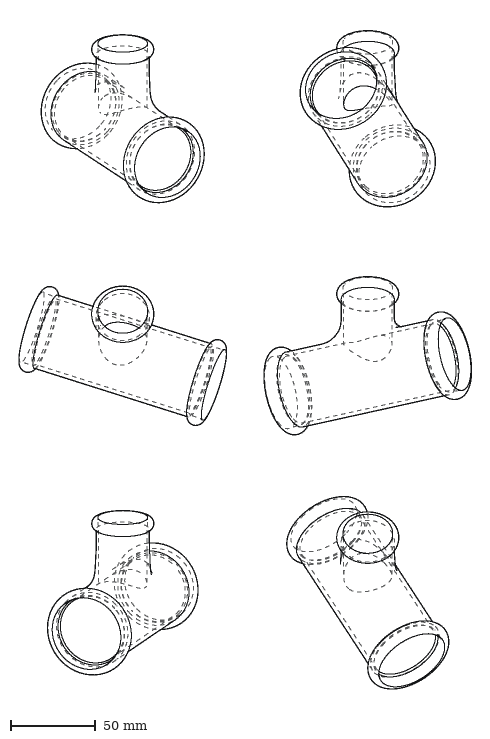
import cadquery as cq

run_length = 114.0
run_diameter = 45.4
run_bead_diameter = 52.7
run_bead_width = 9.0
run_lip_diameter = 42.8
run_socket_diameter = 42.4
run_bore_diameter = 40.6

branch_height = 56.0
branch_diameter = 31.4
branch_bead_diameter = 36.7
branch_bead_width = 7.3
branch_lip_diameter = 29.2
branch_socket_diameter = 28.8
branch_bore_diameter = 28.4

lip_start = 0.22
lip_end = 0.42
socket_start = 0.7
socket_end = 0.85

saddle_radius = 14.8
saddle_top_margin = 0.6
selection_margin = 1.1
saddle_top = run_diameter / 2 + saddle_radius + saddle_top_margin
neck_foot_width = 36.0

left_mouth = cq.Plane((-run_length / 2, 0, 0), (0, 1, 0), (-1, 0, 0))
right_mouth = cq.Plane((run_length / 2, 0, 0), (0, 1, 0), (1, 0, 0))
branch_mouth = cq.Plane((0, 0, branch_height), (1, 0, 0), (0, 0, 1))


def revolve_axis_profile(profile):
    """Revolve a closed profile about the axis of its mouth."""
    return profile.close().revolve(360, (0, 0, 0), (0, 1, 0))


def mouth_profile(mouth):
    """Sketch plane through a pipe axis: local x is radius, local y points out of the mouth."""
    return cq.Workplane(mouth).transformed(rotate=(90, 0, 0))


def bead(mouth, diameter, width):
    """Rolled end bead with a semicircular rim, solid to the pipe axis."""
    centre_radius = (diameter - width) / 2
    profile = (
        mouth_profile(mouth)
        .lineTo(centre_radius, 0)
        .threePointArc((diameter / 2, -width / 2), (centre_radius, -width))
        .lineTo(0, -width)
    )
    return revolve_axis_profile(profile)


def socket(mouth, bead_diameter, bead_width, lip_diameter, socket_diameter, bore_diameter):
    """Mouth cavity narrowing over the bead width: mouth, sealing lip, socket and bore."""
    profile = (
        mouth_profile(mouth)
        .lineTo((bead_diameter - bead_width) / 2, 0)
        .lineTo(lip_diameter / 2, -lip_start * bead_width)
        .lineTo(lip_diameter / 2, -lip_end * bead_width)
        .lineTo(socket_diameter / 2, -socket_start * bead_width)
        .lineTo(socket_diameter / 2, -socket_end * bead_width)
        .lineTo(bore_diameter / 2, -bead_width)
        .lineTo(0, -bead_width)
    )
    return revolve_axis_profile(profile)


def run_cylinder(diameter, length):
    return cq.Workplane("YZ").circle(diameter / 2).extrude(length / 2, both=True)


def branch_cylinder(diameter, height):
    return cq.Workplane("XY").circle(diameter / 2).extrude(height)


def neck():
    """Foot of the branch, round at the saddle top and widening to an ellipse at the run axis."""
    return (
        cq.Workplane("XY")
        .ellipse(branch_diameter / 2, neck_foot_width / 2)
        .workplane(offset=saddle_top)
        .ellipse(branch_diameter / 2, branch_diameter / 2)
        .loft()
    )


def saddle_tee():
    """Run and neck joined with a concave saddle, carrying the straight branch."""
    stock_height = branch_height - branch_bead_width / 2
    junction = cq.selectors.BoxSelector(
        (-branch_diameter, -branch_diameter, selection_margin),
        (branch_diameter, branch_diameter, run_diameter / 2 + selection_margin),
    )
    foot = run_cylinder(run_diameter, run_length - run_bead_width).union(neck())
    foot = foot.edges(junction).fillet(saddle_radius)
    return foot.union(branch_cylinder(branch_diameter, stock_height))


result = saddle_tee()
for mouth in (left_mouth, right_mouth):
    result = result.union(bead(mouth, run_bead_diameter, run_bead_width))
result = result.union(bead(branch_mouth, branch_bead_diameter, branch_bead_width))

result = result.cut(run_cylinder(run_bore_diameter, run_length))
result = result.cut(branch_cylinder(branch_bore_diameter, branch_height))

for mouth in (left_mouth, right_mouth):
    result = result.cut(
        socket(
            mouth,
            run_bead_diameter,
            run_bead_width,
            run_lip_diameter,
            run_socket_diameter,
            run_bore_diameter,
        )
    )
result = result.cut(
    socket(
        branch_mouth,
        branch_bead_diameter,
        branch_bead_width,
        branch_lip_diameter,
        branch_socket_diameter,
        branch_bore_diameter,
    )
)